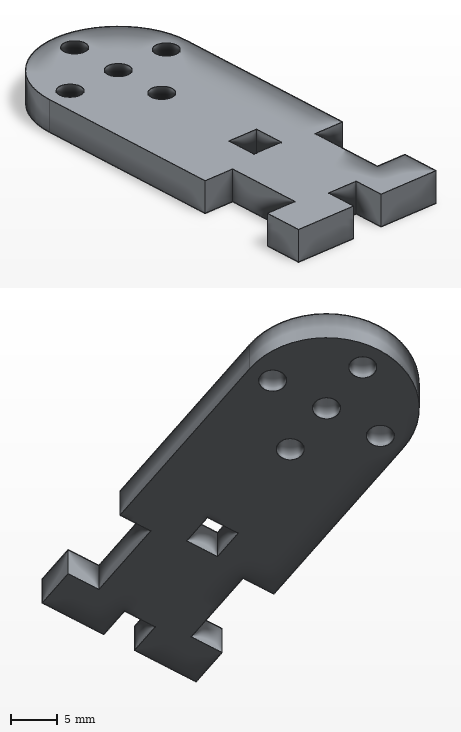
import cadquery as cq

length = 50
width = 20
thickness = 4
end_radius = width / 2
tail_x = length - end_radius

hole_diameter = 3
hole_circle_radius = 7
hole_count = 4

tab_size = thickness
side_notch_length = 10
side_notch_depth = tab_size
tail_lug_length = 5
window_start_x = 20


def plate():
    return (
        cq.Workplane("XY")
        .moveTo(0, end_radius)
        .lineTo(tail_x, end_radius)
        .lineTo(tail_x, -end_radius)
        .lineTo(0, -end_radius)
        .threePointArc((-end_radius, 0), (0, end_radius))
        .close()
        .extrude(thickness)
    )


def through_box(start_x, center_y, size_x, size_y):
    """Cutting block spanning the full thickness of the plate."""
    return (
        cq.Workplane("XY")
        .center(start_x + size_x / 2, center_y)
        .rect(size_x, size_y)
        .extrude(thickness)
    )


def round_holes():
    center_hole = cq.Workplane("XY").circle(hole_diameter / 2).extrude(thickness)
    outer_holes = (
        cq.Workplane("XY")
        .polarArray(hole_circle_radius, 0, 360, hole_count)
        .circle(hole_diameter / 2)
        .extrude(thickness)
    )
    return center_hole.union(outer_holes)


result = plate().cut(round_holes())

for start_x in (window_start_x, tail_x - tab_size):
    result = result.cut(through_box(start_x, 0, tab_size, tab_size))

notch_start_x = tail_x - tail_lug_length - side_notch_length
notch_center_y = end_radius - side_notch_depth / 2
for side in (-1, 1):
    notch = through_box(notch_start_x, side * notch_center_y, side_notch_length, side_notch_depth)
    result = result.cut(notch)